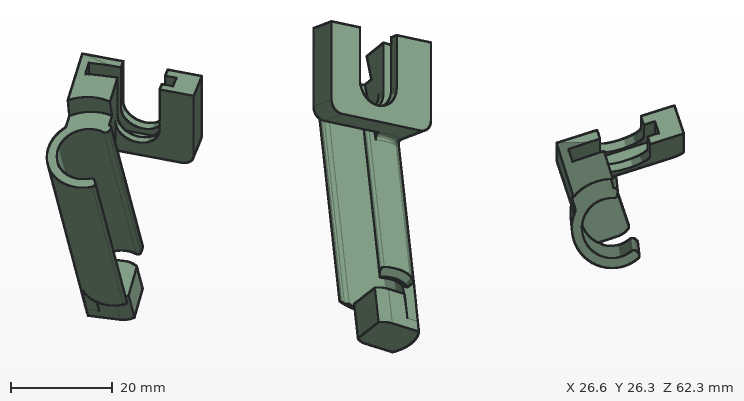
import cadquery as cq
import math

hook_width = 24.4
hook_height = 18.55
hook_depth = 6.0
block_width = 8.4
block_depth = 15.6
hook_gap = 9.05
gap_floor = 3.3
corner_radius = 2.5

slot_left = 1.85
slot_right = 19.75
slot_back = 1.85
slot_width = 2.5
slot_floor = 1.85

lean_x = math.tan(math.radians(4.7))
lean_y = math.tan(math.radians(15.2))
mouth_center = (5.7, -17.6, 8.7)
outer_radius = 7.9
wall = 2.0
bore_radius = outer_radius - wall
opening_half_angle = 62.0
lip_radius = 0.75
step_radius = 9.95
blend_radius = 1.0
seam_margin = 0.6

wall_length = 43.6
bore_depth = 44.85
flare_end = 50.45
holder_length = 52.8
rim_bevel = 1.4
plug_radius = 4.35
plug_right = 2.7
flare_half_width = 5.3

clearance = 31.15

axis_up = (-lean_x, -lean_y, 1)
axis_side = (1, 0, lean_x)


def holder_plane(depth=0.0):
    """Plane square to the holder axis, a given depth below the mouth."""
    plane = cq.Plane(origin=mouth_center, xDir=axis_side, normal=axis_up)
    return cq.Workplane(plane).workplane(offset=-depth)


def polar(radius, degrees):
    angle = math.radians(degrees)
    return (radius * math.cos(angle), radius * math.sin(angle))


def make_hook():
    """J-shaped plate with its left arm thickened toward the holder."""
    gap_right = block_width + hook_gap
    gap_radius = hook_gap / 2
    plate = cq.Workplane("XY").box(hook_width, hook_depth, hook_height, centered=False)
    plate = plate.translate((0, -hook_depth, 0))
    block = cq.Workplane("XY").box(block_width, block_depth, hook_height, centered=False)
    block = block.translate((0, -block_depth, 0))
    hook = plate.union(block).edges("|Y and <Z and (<X or >X)").fillet(corner_radius)
    gap_center_z = gap_floor + gap_radius
    gap = (
        cq.Workplane("XZ")
        .moveTo(block_width, hook_height)
        .lineTo(block_width, gap_center_z)
        .threePointArc((block_width + gap_radius, gap_center_z - gap_radius), (gap_right, gap_center_z))
        .lineTo(gap_right, hook_height)
        .close()
        .extrude(hook_depth)
    )
    return hook.cut(gap)


def trim_block(hook):
    """Slope the left arm's top and step it down to the holder mouth."""
    top_plane = cq.Plane(origin=(0, 0, hook_height), xDir=axis_side, normal=axis_up)
    above_slope = cq.Workplane(top_plane).rect(2 * clearance, 2 * clearance).extrude(clearance)
    left_arm = cq.Workplane("XY").box(block_width, clearance, clearance, centered=False)
    left_arm = left_arm.translate((0, -clearance, 0))
    step = holder_plane().circle(step_radius).extrude(clearance)
    return hook.cut(above_slope.intersect(left_arm)).cut(step)


def make_slot():
    slot = cq.Workplane("XY").box(slot_right - slot_left, slot_width, hook_height, centered=False)
    return slot.translate((slot_left, -slot_back - slot_width, slot_floor))


def make_shell():
    """C-shaped tube with rounded lips, running the full length of the holder."""
    shell = (
        holder_plane()
        .moveTo(*polar(bore_radius, opening_half_angle))
        .threePointArc((-bore_radius, 0), polar(bore_radius, -opening_half_angle))
        .lineTo(*polar(outer_radius, -opening_half_angle))
        .threePointArc((-outer_radius, 0), polar(outer_radius, opening_half_angle))
        .close()
        .extrude(-holder_length)
    )
    return shell.edges(cq.selectors.ParallelDirSelector(cq.Vector(*axis_up))).fillet(lip_radius)


def make_spine():
    """Back of the tube that reaches the lower end, its sides flaring up into the wall."""
    flare_start = wall_length - rim_bevel
    rise = flare_end - flare_start
    spread = flare_half_width - plug_radius
    flare_radius = (rise**2 + spread**2) / (2 * spread)
    half_angle = math.asin(rise / flare_radius) / 2
    middle_y = plug_radius + flare_radius * (1 - math.cos(half_angle))
    middle_z = -flare_end + flare_radius * math.sin(half_angle)
    side_plane = cq.Plane(origin=mouth_center, xDir=holder_plane().plane.yDir, normal=axis_side)
    return (
        cq.Workplane(side_plane)
        .moveTo(-plug_radius, -holder_length)
        .lineTo(plug_radius, -holder_length)
        .lineTo(plug_radius, -flare_end)
        .threePointArc((middle_y, middle_z), (flare_half_width, -flare_start))
        .lineTo(-flare_half_width, -flare_start)
        .threePointArc((-middle_y, middle_z), (-plug_radius, -flare_end))
        .close()
        .extrude(-clearance)
    )


def make_end_relief():
    """Space around the lower end: everything below the bevelled rim except the spine."""
    kept_wall = holder_plane().circle(outer_radius).extrude(-wall_length)
    lowest = cq.selectors.DirectionMinMaxSelector(cq.Vector(*axis_up), False)
    kept_wall = kept_wall.faces(lowest).chamfer(rim_bevel)
    relief = holder_plane(wall_length - rim_bevel).circle(clearance).extrude(-clearance)
    return relief.cut(kept_wall).cut(make_spine())


def make_plug():
    """Solid end below the bore: straight sides with a round, truncated right end."""
    end_y = math.sqrt(plug_radius**2 - plug_right**2)
    bend = polar(plug_radius, (90 + math.degrees(math.asin(end_y / plug_radius))) / 2)
    return (
        holder_plane(bore_depth)
        .moveTo(-bore_radius, -plug_radius)
        .lineTo(0, -plug_radius)
        .threePointArc((bend[0], -bend[1]), (plug_right, -end_y))
        .lineTo(plug_right, end_y)
        .threePointArc(bend, (0, plug_radius))
        .lineTo(-bore_radius, plug_radius)
        .close()
        .extrude(bore_depth - holder_length)
    )


def blend_block(hook):
    """Join the block to a full cylinder, filleting the seam on its left side and underside."""
    cylinder = holder_plane().circle(outer_radius).extrude(-holder_length)
    joined = hook.union(cylinder)
    seam_box = cq.selectors.BoxSelector(
        (-seam_margin, -block_depth, -seam_margin),
        (corner_radius, -hook_depth, hook_height / 2),
    )
    blended = joined.edges(seam_box).fillet(blend_radius)
    return blended.cut(cylinder)


hook = blend_block(trim_block(make_hook()))
holder = make_shell().cut(make_end_relief()).union(make_plug())
result = holder.union(hook).cut(make_slot())